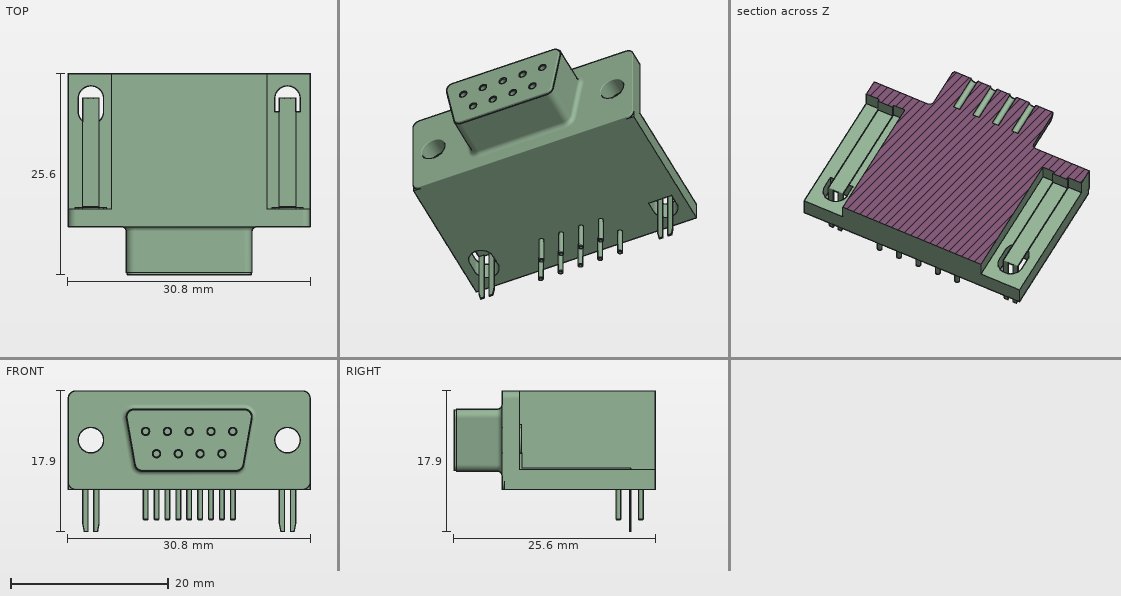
import cadquery as cq
import math


width = 30.8
height = 12.55
body_depth = 19.5
flange_thickness = 2.25
block_width = 19.8
foot_height = 2.55
flange_corner_radius = 1.0

plate_thickness = 0.3
plate_edge_fillet = 0.1

nose_length = 6.1
nose_center_z = height / 2
nose_height = 7.92
nose_top_half_width = 8.2
nose_side_angle = 10.0
nose_corner_radius = 1.0
nose_root_fillet = 0.58

insert_protrusion = 0.3
insert_inset = 0.1
insert_edge_fillet = 0.1

contact_pitch = 2.77
contact_row_spacing = 2.84
contact_rows_center_z = 5.97
top_row_count = 5
bottom_row_count = 4
socket_diameter = 0.85
socket_depth = 5.0
socket_chamfer = 0.1
pin_diameter = 0.64
pin_length = 3.88
pin_tip_chamfer = 0.1
rear_pin_inset = 1.85

mounting_hole_spacing = 25.0
mounting_hole_diameter = 3.2
eyelet_diameter = 4.0
eyelet_thickness = 0.2
strap_width = 2.1
strap_thickness = 0.2
strap_bend_radius = 0.15
upright_rear_offset = 0.32
strap_top_z = 4.62
strap_rear_inset = 3.1
leg_width = 0.7
leg_length = 5.35
leg_taper_length = 1.0
leg_taper_inset = 0.2

slot_width = 3.2
slot_rear_inset = 1.58
slot_straight_length = 1.65

rear_y = body_depth
flange_rear_y = flange_thickness
mounting_x = mounting_hole_spacing / 2
strap_rear_y = rear_y - strap_rear_inset


def box(x_range, y_range, z_range):
    """Box spanning the given (low, high) ranges."""
    sizes = [high - low for low, high in (x_range, y_range, z_range)]
    corner = (x_range[0], y_range[0], z_range[0])
    return cq.Workplane("XY").box(*sizes, centered=False).translate(corner)


def cylinder_along_y(diameter, x, z, y_start, y_end):
    """Round bar parallel to Y."""
    plane = cq.Workplane("XZ", origin=(x, y_start, z))
    return plane.circle(diameter / 2).extrude(y_start - y_end)


def row_positions(count):
    """X positions of a contact row centred on the part."""
    return [(i - (count - 1) / 2) * contact_pitch for i in range(count)]


def make_housing():
    half = width / 2
    flange = box((-half, half), (plate_thickness, flange_rear_y), (0, height))
    flange = flange.edges("|Y and >Z").fillet(flange_corner_radius)
    foot = box((-half, half), (plate_thickness, rear_y), (0, foot_height))
    block = box((-block_width / 2, block_width / 2), (plate_thickness, rear_y), (0, height))
    return flange.union(foot).union(block)


def make_mounting_holes():
    """Cutter for both mounting holes, through flange, eyelets and straps."""
    rear = flange_rear_y + upright_rear_offset
    left = cylinder_along_y(mounting_hole_diameter, -mounting_x, nose_center_z, 0, rear)
    right = cylinder_along_y(mounting_hole_diameter, mounting_x, nose_center_z, 0, rear)
    return left.union(right)


def make_d_prism(inset, rear, front):
    """Rounded D prism between two Y planes, its outline moved inward by the inset."""
    taper = nose_height * math.tan(math.radians(nose_side_angle))
    bottom_half_width = nose_top_half_width - taper
    top_z = nose_center_z + nose_height / 2
    bottom_z = nose_center_z - nose_height / 2
    outline = [
        (-nose_top_half_width, top_z),
        (nose_top_half_width, top_z),
        (bottom_half_width, bottom_z),
        (-bottom_half_width, bottom_z),
    ]
    sketch = cq.Workplane("XZ", origin=(0, rear, 0)).polyline(outline).close()
    if inset:
        sketch = sketch.offset2D(-inset)
    return sketch.extrude(rear - front).edges("|Y").fillet(nose_corner_radius - inset)


def make_face_plate():
    plate = box((-width / 2, width / 2), (0, plate_thickness), (0, height))
    plate = plate.edges("|Y").fillet(flange_corner_radius)
    plate = plate.cut(make_mounting_holes())
    return plate.faces("<Y").edges().fillet(plate_edge_fillet)


def make_nose():
    """D-shaped shell prism, sunk to the back of the face plate, with the insert in front of it."""
    shell_length = nose_length - insert_protrusion
    shell_nose = make_d_prism(0, plate_thickness, -shell_length)
    insert = make_d_prism(insert_inset, -shell_length, -nose_length)
    insert = insert.faces("<Y").edges().fillet(insert_edge_fillet)
    return shell_nose.union(insert)


def make_shell():
    """Face plate and nose with the rounded root between them."""
    shell = make_face_plate().union(make_nose())
    margin = plate_thickness / 2
    half_height = nose_height / 2
    root_edges = cq.selectors.BoxSelector(
        (-nose_top_half_width, -margin, nose_center_z - half_height - margin),
        (nose_top_half_width, margin, nose_center_z + half_height + margin),
    )
    return shell.edges(root_edges).fillet(nose_root_fillet)


def make_contact_socket(x, z):
    """Cutter for one contact hole with a chamfered mouth."""
    mouth_y = -nose_length
    hole = cylinder_along_y(socket_diameter, x, z, mouth_y, mouth_y + socket_depth)
    cone = cq.Solid.makeCone(
        socket_diameter / 2 + socket_chamfer,
        socket_diameter / 2,
        socket_chamfer,
        pnt=cq.Vector(x, mouth_y, z),
        dir=cq.Vector(0, 1, 0),
    )
    return hole.union(cq.Workplane(cone))


def make_pin(x, y):
    """Solder pin rooted inside the housing block."""
    plane = cq.Workplane("XY", origin=(x, y, -pin_length))
    pin = plane.circle(pin_diameter / 2).extrude(pin_length + foot_height / 2)
    return pin.faces("<Z").chamfer(pin_tip_chamfer)


def make_slot(round_front):
    """Cutter through the foot; the rear end is round, the front end round or flat."""
    rear_arc_y = rear_y - slot_rear_inset - slot_width / 2
    front_y = rear_arc_y - slot_straight_length
    half = slot_width / 2
    slot = box((-half, half), (front_y, rear_arc_y), (0, foot_height))
    round_centers = [(0, rear_arc_y)]
    if round_front:
        round_centers.append((0, front_y))
    rounds = cq.Workplane("XY").pushPoints(round_centers).circle(half).extrude(foot_height)
    return slot.union(rounds)


def make_leg(side):
    """Strap leg tapered on its outer side at the tip."""
    outer = strap_width / 2
    inner = outer - leg_width
    outline = [
        (side * inner, foot_height),
        (side * outer, foot_height),
        (side * outer, leg_taper_length - leg_length),
        (side * (outer - leg_taper_inset), -leg_length),
        (side * inner, -leg_length),
    ]
    plane = cq.Workplane("XZ", origin=(0, strap_rear_y, 0))
    return plane.polyline(outline).close().extrude(strap_thickness)


def make_strap():
    """Bent strap from the eyelet, along the foot and down through the slot."""
    span = (-strap_width / 2, strap_width / 2)
    upright_rear_y = flange_rear_y + upright_rear_offset
    run_top_z = foot_height + strap_thickness
    upright = box(span, (flange_rear_y, upright_rear_y), (foot_height, strap_top_z))
    run = box(span, (flange_rear_y, strap_rear_y), (foot_height, run_top_z))
    run = run.edges(">Y and >Z").fillet(strap_bend_radius)
    strap = upright.union(run)
    for side in (-1, 1):
        strap = strap.union(make_leg(side))
    return strap


part = make_housing().union(make_shell())

for count, row_side in ((top_row_count, 1), (bottom_row_count, -1)):
    socket_z = contact_rows_center_z + row_side * contact_row_spacing / 2
    rear_inset = rear_pin_inset if row_side > 0 else rear_pin_inset + contact_row_spacing
    for contact_x in row_positions(count):
        part = part.cut(make_contact_socket(contact_x, socket_z))
        part = part.union(make_pin(contact_x, rear_y - rear_inset))

for side in (-1, 1):
    hole_x = side * mounting_x
    eyelet_rear_y = flange_rear_y + eyelet_thickness
    part = part.cut(make_slot(round_front=side < 0).translate((hole_x, 0, 0)))
    part = part.union(
        cylinder_along_y(eyelet_diameter, hole_x, nose_center_z, flange_rear_y, eyelet_rear_y)
    )
    part = part.union(make_strap().translate((hole_x, 0, 0)))

result = part.cut(make_mounting_holes())